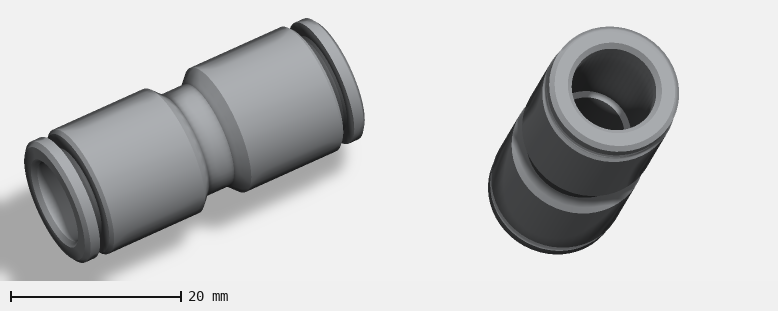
import cadquery as cq


half_length = 37.8 / 2
flange_thickness = 1.75
flange_inner_y = half_length - flange_thickness
body_end_y = 15.8
shoulder_y = 3.15
waist_half_length = 1.65

body_radius = 16.0 / 2
waist_radius = 6.55
flange_radius = 7.8
neck_radius = 5.8
neck_root_radius = 6.05

body_chamfer = 0.4
flange_chamfer_length = 0.45
flange_chamfer_depth = 0.55
neck_taper_length = 0.3

passage_radius = 4.27
socket_radius = 5.05
socket_bottom_y = shoulder_y
socket_chamfer = 0.55


def mirrored(points):
    """Extend (radius, y) points of the +Y half to both halves, running from -Y to +Y."""
    opposite = [(radius, -y) for radius, y in reversed(points)]
    return opposite + points


def outside_points():
    """Waist, body, neck and release flange of the +Y half."""
    return [
        (waist_radius, waist_half_length),
        (body_radius, shoulder_y),
        (body_radius, body_end_y - body_chamfer),
        (body_radius - body_chamfer, body_end_y),
        (neck_radius, body_end_y),
        (neck_radius, flange_inner_y - neck_taper_length),
        (neck_root_radius, flange_inner_y),
        (flange_radius, flange_inner_y),
        (flange_radius, half_length - flange_chamfer_length),
        (flange_radius - flange_chamfer_depth, half_length),
    ]


def inside_points():
    """Through passage, tube stop and chamfered tube socket of the +Y half."""
    return [
        (passage_radius, socket_bottom_y),
        (socket_radius, socket_bottom_y),
        (socket_radius, half_length - socket_chamfer),
        (socket_radius + socket_chamfer, half_length),
    ]


wall_outline = mirrored(outside_points()) + mirrored(inside_points())[::-1]
wall_profile = cq.Workplane("XY").polyline(wall_outline).close()
result = wall_profile.revolve(360, (0, 0), (0, 1))